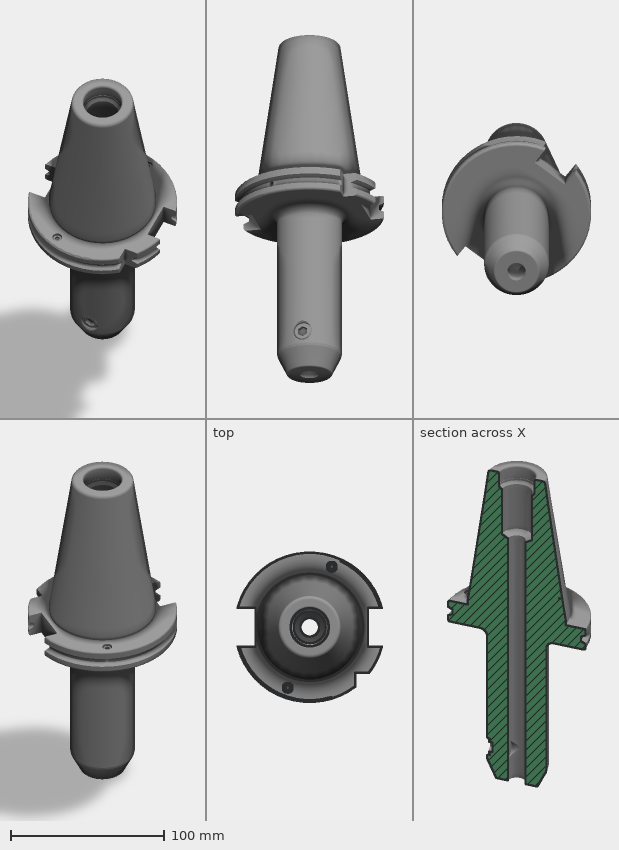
import cadquery as cq
import math

total_height = 231.8
gauge_height = 128.9
flange_top = 126.8
flange_bottom = 110.8

gauge_radius = 35.0
taper_slope = 7 / 48
taper_end_fillet = 2.3
small_end_radius = gauge_radius - (total_height - gauge_height) * taper_slope

relief_radius = 34.8
relief_top = 128.2

flange_diameter = 97.3
flange_radius = flange_diameter / 2
groove_radius = 45.5
groove_mid_height = 118.7
groove_floor_width = 3.2
groove_mouth_width = 6.3
flange_top_fillet = 1.2
flange_bottom_fillet = 1.6

key_width = 25.3
left_key_distance = 35.5
right_key_distance = 38.0
notch_distance = 29.7

shank_radius = 21.0
neck_fillet = 4.9
nose_cone_height = 13.2
nose_radius = 14.5
nose_corner_fillet = 4.0
nose_end_fillet = 1.2

tool_bore_radius = 6.0
thread_bore_radius = 10.5
thread_bore_bottom = 185.5
counterbore_radius = 12.5
counterbore_depth = 9.3
counterbore_lip_fillet = 1.5
lead_in_radius = 12.3
lead_in_depth = 1.6
drill_point_angle = 120
drill_point_slope = 1 / math.tan(math.radians(drill_point_angle / 2))

clamp_height = 22.7
clamp_radius = 6.0
clamp_countersink_radius = 7.0
clamp_recess = 1.2
clamp_edge_chamfer = 1.0
clamp_socket_flats = 6.0
clamp_socket_depth = 2.8

outlet_circle_radius = 42.0
outlet_angle = 70.0
outlet_radius = 3.2
outlet_depth = 8.0
plug_recess = 1.2
plug_edge_chamfer = 0.7
plug_socket_flats = 3.0
plug_socket_depth = 1.5
cross_drill_radius = 1.9

selection_margin = 0.12


def revolve_profile(profile):
    """Turn a closed radius/height profile about the Z axis."""
    return profile.close().revolve(360, (0, 0, 0), (0, 1, 0))


def round_rim(body, radius, height, fillet):
    """Fillet the circular edges of a turned body at a given radius and height."""
    low = height - selection_margin
    high = height + selection_margin
    outer = radius + selection_margin
    inner = radius - selection_margin
    within_outer = cq.selectors.BoxSelector((-outer, -outer, low), (outer, outer, high), boundingbox=True)
    within_inner = cq.selectors.BoxSelector((-inner, -inner, low), (inner, inner, high), boundingbox=True)
    return body.edges(within_outer - within_inner).fillet(fillet)


def make_turned_body():
    floor_top = groove_mid_height + groove_floor_width / 2
    floor_bottom = groove_mid_height - groove_floor_width / 2
    mouth_top = groove_mid_height + groove_mouth_width / 2
    mouth_bottom = groove_mid_height - groove_mouth_width / 2
    profile = (
        cq.Workplane("XZ")
        .moveTo(0, 0)
        .lineTo(nose_radius, 0)
        .lineTo(shank_radius, nose_cone_height)
        .lineTo(shank_radius, flange_bottom)
        .lineTo(flange_radius, flange_bottom)
        .lineTo(flange_radius, mouth_bottom)
        .lineTo(groove_radius, floor_bottom)
        .lineTo(groove_radius, floor_top)
        .lineTo(flange_radius, mouth_top)
        .lineTo(flange_radius, flange_top)
        .lineTo(relief_radius, flange_top)
        .lineTo(relief_radius, relief_top)
        .lineTo(gauge_radius, relief_top)
        .lineTo(gauge_radius, gauge_height)
        .lineTo(small_end_radius, total_height)
        .lineTo(0, total_height)
    )
    body = revolve_profile(profile)
    body = round_rim(body, nose_radius, 0, nose_end_fillet)
    body = round_rim(body, shank_radius, nose_cone_height, nose_corner_fillet)
    body = round_rim(body, shank_radius, flange_bottom, neck_fillet)
    body = round_rim(body, flange_radius, flange_bottom, flange_bottom_fillet)
    body = round_rim(body, flange_radius, flange_top, flange_top_fillet)
    return round_rim(body, small_end_radius, total_height, taper_end_fillet)


def flange_block(x_min, x_max, y_min, y_max):
    """Box spanning the flange thickness."""
    return (
        cq.Workplane("XY", origin=(0, 0, flange_bottom))
        .moveTo(x_min, y_min)
        .lineTo(x_max, y_min)
        .lineTo(x_max, y_max)
        .lineTo(x_min, y_max)
        .close()
        .extrude(flange_top - flange_bottom)
    )


def cut_flange(body):
    reach = flange_diameter
    half_key = key_width / 2
    body = body.cut(flange_block(-reach, -left_key_distance, -half_key, half_key))
    body = body.cut(flange_block(right_key_distance, reach, -half_key, half_key))
    return body.cut(flange_block(notch_distance, reach, -reach, -notch_distance))


def make_axial_bore():
    """Through bore with a threaded section and counterbore at the taper end."""
    counterbore_floor = total_height - counterbore_depth
    lead_in_floor = counterbore_floor - lead_in_depth
    thread_top = lead_in_floor - (lead_in_radius - thread_bore_radius)
    cone_bottom = thread_bore_bottom - (thread_bore_radius - tool_bore_radius) * drill_point_slope
    lip_radius = counterbore_radius + counterbore_lip_fillet
    profile = (
        cq.Workplane("XZ")
        .moveTo(0, 0)
        .lineTo(tool_bore_radius, 0)
        .lineTo(tool_bore_radius, cone_bottom)
        .lineTo(thread_bore_radius, thread_bore_bottom)
        .lineTo(thread_bore_radius, thread_top)
        .lineTo(lead_in_radius, lead_in_floor)
        .lineTo(lead_in_radius, counterbore_floor)
        .lineTo(counterbore_radius, counterbore_floor)
        .lineTo(counterbore_radius, total_height - counterbore_lip_fillet)
        .radiusArc((lip_radius, total_height), counterbore_lip_fillet)
        .lineTo(0, total_height)
    )
    return revolve_profile(profile)


def socket_screw(plane, radius, length, chamfer, flats, socket_depth):
    """Set screw whose hex socket opens at the plane origin, with the screw body below it."""
    corner_diameter = flats / math.cos(math.pi / 6)
    outer_face = cq.DirectionMinMaxSelector(plane.zDir, True)
    screw = cq.Workplane(plane).circle(radius).extrude(-length)
    screw = screw.faces(outer_face).chamfer(chamfer)
    socket = cq.Workplane(plane).polygon(6, corner_diameter).extrude(-socket_depth)
    return screw.cut(socket)


def fit_clamp_screw(body):
    """Countersunk radial hole from the -Y side into the tool bore, holding a set screw."""
    surface = cq.Plane(origin=(0, -shank_radius, clamp_height), xDir=(0, 0, 1), normal=(0, -1, 0))
    hole = cq.Workplane(surface).circle(clamp_radius).extrude(-shank_radius)
    countersink = cq.Workplane(surface).add(
        cq.Solid.makeCone(
            clamp_countersink_radius,
            clamp_radius,
            clamp_countersink_radius - clamp_radius,
            cq.Vector(0, -shank_radius, clamp_height),
            cq.Vector(0, 1, 0),
        )
    )
    seat = cq.Plane(
        origin=(0, clamp_recess - shank_radius, clamp_height), xDir=(0, 0, 1), normal=(0, -1, 0)
    )
    length = shank_radius - clamp_recess - tool_bore_radius
    screw = socket_screw(
        seat, clamp_radius, length, clamp_edge_chamfer, clamp_socket_flats, clamp_socket_depth
    )
    return body.cut(hole).cut(countersink).union(screw)


def add_coolant_outlet(body, angle):
    """Plugged axial outlet in the flange top, with a cross drill from the groove floor."""
    direction = cq.Vector(math.cos(math.radians(angle)), math.sin(math.radians(angle)), 0)
    centre = direction * outlet_circle_radius
    mouth = cq.Plane(origin=(centre.x, centre.y, flange_top), xDir=direction, normal=(0, 0, 1))
    hole = cq.Workplane(mouth).circle(outlet_radius).extrude(-outlet_depth)
    cross_drill = cq.Workplane(
        cq.Solid.makeCylinder(
            cross_drill_radius,
            flange_radius - outlet_circle_radius,
            centre + cq.Vector(0, 0, groove_mid_height),
            direction,
        )
    )
    seat = cq.Plane(
        origin=(centre.x, centre.y, flange_top - plug_recess), xDir=direction, normal=(0, 0, 1)
    )
    plug = socket_screw(
        seat,
        outlet_radius,
        outlet_depth - plug_recess,
        plug_edge_chamfer,
        plug_socket_flats,
        plug_socket_depth,
    )
    return body.cut(hole).union(plug).cut(cross_drill)


result = cut_flange(make_turned_body()).cut(make_axial_bore())
result = fit_clamp_screw(result)
for side_angle in (outlet_angle, outlet_angle + 180):
    result = add_coolant_outlet(result, side_angle)

result = result.solids()